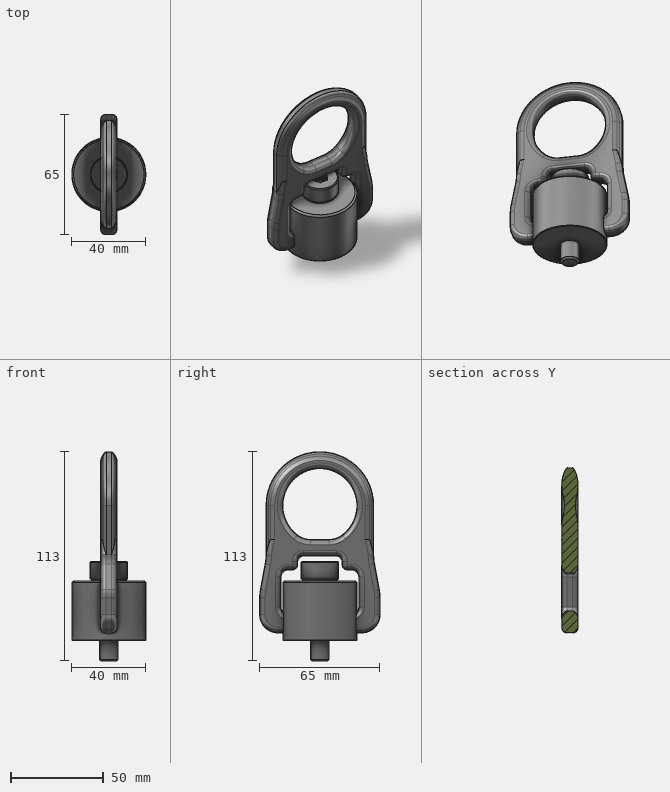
import cadquery as cq
import math

STUD_R = 5.0
STUD_CHAMFER = 1.0
BODY_R = 20.0
BODY_BOTTOM = 11.2
BODY_TOP = 43.4
BODY_TOP_CHAMFER = 1.0
BODY_BOTTOM_CHAMFER = 0.3
NECK_R = 9.5
HEAD_R = 10.1
HEAD_BOTTOM = 44.3
HEAD_TOP = 53.9
HEAD_CHAMFER = 0.6
SOCKET_ACROSS_FLATS = 8.0
SOCKET_DEPTH = 6.0

RING_TOP = 113.0
RING_BOTTOM = 15.3
RING_T = 8.8
EDGE_FILLET = 2.9
ARCH_R = 29.0
ARCH_Z = RING_TOP - ARCH_R
EYE_R = 20.0
EYE_BOTTOM = 65.7
EYE_FLAT_HALF = 5.0

CROWN = (1.4, 0)
CROWN_ARC_MID = (2.3, 0.6)
BEVEL_TOP = (2.8, 1.2)
BEVEL_BOTTOM = (3.5, 2.4)
SIDE_ARC_MID = (4.1, 3.5)
SIDE_ARC_END = (RING_T / 2, 4.6)

SHOULDER_WIDTH = 65.0
SHOULDER_HALF = SHOULDER_WIDTH / 2
SHOULDER_CORNER_R = 10.1
BEND_START_Z = 34.0
BEND_R = 26.0
FLARE_ANGLE = math.radians(10.5)
BLEND_R = 27.1
SHOULDERS_TOP = 65.8

WINDOW_TOP = 56.7
WINDOW_STEP = 49.3
WINDOW_BOTTOM = 25.3
WINDOW_TOP_HALF = 12.0
WINDOW_HALF = 21.0
WINDOW_SMALL_R = 3.0
WINDOW_CORNER_R = 4.0

PICK_MARGIN = 1.1


def cylinder(radius, bottom, top):
    return cq.Workplane("XY").workplane(offset=bottom).circle(radius).extrude(top - bottom)


def make_swivel():
    """Stud, round body and socket head bolt on one axis."""
    stud = cylinder(STUD_R, 0, BODY_BOTTOM).faces("<Z").chamfer(STUD_CHAMFER)
    body = cylinder(BODY_R, BODY_BOTTOM, BODY_TOP)
    body = body.faces(">Z").chamfer(BODY_TOP_CHAMFER).faces("<Z").chamfer(BODY_BOTTOM_CHAMFER)
    neck = cylinder(NECK_R, BODY_TOP, HEAD_BOTTOM)
    head = cylinder(HEAD_R, HEAD_BOTTOM, HEAD_TOP).faces(">Z").chamfer(HEAD_CHAMFER)
    socket = (
        cq.Workplane("XY")
        .workplane(offset=HEAD_TOP - SOCKET_DEPTH)
        .transformed(rotate=(0, 0, 90))
        .polygon(6, SOCKET_ACROSS_FLATS / math.cos(math.pi / 6))
        .extrude(SOCKET_DEPTH)
    )
    return stud.union(body).union(neck).union(head).cut(socket)


def plate(outline):
    """Extrude a closed YZ outline to the ring thickness, centred on X = 0."""
    return outline.extrude(RING_T / 2, both=True)


def rim_section(plane):
    """Half of the arch section: X runs across the ring, local Y outward from the arch axis."""

    def right(point):
        return (point[0], ARCH_R - point[1])

    def left(point):
        return (-point[0], ARCH_R - point[1])

    return (
        cq.Workplane(plane)
        .moveTo(-RING_T / 2, 0)
        .lineTo(*left(SIDE_ARC_END))
        .threePointArc(left(SIDE_ARC_MID), left(BEVEL_BOTTOM))
        .lineTo(*left(BEVEL_TOP))
        .threePointArc(left(CROWN_ARC_MID), left(CROWN))
        .lineTo(*right(CROWN))
        .threePointArc(right(CROWN_ARC_MID), right(BEVEL_TOP))
        .lineTo(*right(BEVEL_BOTTOM))
        .threePointArc(right(SIDE_ARC_MID), right(SIDE_ARC_END))
        .lineTo(RING_T / 2, 0)
        .close()
    )


def make_arch(bottom):
    """Solid arch with a rounded rim: a disc continued straight down to `bottom`."""
    level = cq.Plane(origin=(0, 0, ARCH_Z), xDir=(1, 0, 0), normal=(0, 0, 1))
    disc = rim_section(level).revolve(360, (0, 0), (1, 0))
    side = rim_section(level).extrude(bottom - ARCH_Z)
    return disc.union(side).union(side.mirror("XZ"))


def bend_point(angle):
    """Point (half width, height) where the bend has leaned inward by `angle`."""
    half = SHOULDER_HALF - BEND_R * (1 - math.cos(angle))
    return (half, BEND_START_Z + BEND_R * math.sin(angle))


def flare_meets_arch():
    """Height at which the sloping shoulder line reaches the straight side of the arch."""
    half, z = bend_point(FLARE_ANGLE)
    return z + (half - ARCH_R) / math.tan(FLARE_ANGLE)


def make_shoulders():
    """Lower plate, flaring out below the arch, with rounded corners and edges."""
    corner_inset = SHOULDER_CORNER_R * (1 - math.sqrt(0.5))
    tangent = BLEND_R * math.tan(FLARE_ANGLE / 2)
    blend_end_z = flare_meets_arch() + tangent

    def blend_point(angle):
        return (ARCH_R + BLEND_R * (1 - math.cos(angle)), blend_end_z - BLEND_R * math.sin(angle))

    top_half = ARCH_R - (SHOULDERS_TOP - blend_end_z) * math.tan(FLARE_ANGLE)
    outline = (
        cq.Workplane("YZ")
        .moveTo(0, RING_BOTTOM)
        .lineTo(SHOULDER_HALF - SHOULDER_CORNER_R, RING_BOTTOM)
        .threePointArc(
            (SHOULDER_HALF - corner_inset, RING_BOTTOM + corner_inset),
            (SHOULDER_HALF, RING_BOTTOM + SHOULDER_CORNER_R),
        )
        .lineTo(SHOULDER_HALF, BEND_START_Z)
        .threePointArc(bend_point(FLARE_ANGLE / 2), bend_point(FLARE_ANGLE))
        .lineTo(*blend_point(FLARE_ANGLE))
        .threePointArc(blend_point(FLARE_ANGLE / 2), (ARCH_R, blend_end_z))
        .lineTo(top_half, SHOULDERS_TOP)
        .lineTo(0, SHOULDERS_TOP)
        .mirrorY()
    )
    below_top = cq.selectors.BoxSelector(
        (-RING_T, -SHOULDER_WIDTH, 0), (RING_T, SHOULDER_WIDTH, SHOULDERS_TOP - PICK_MARGIN)
    )
    return plate(outline).faces("<X or >X").edges(below_top).fillet(EDGE_FILLET)


def make_eye():
    """Round eye with a flat bottom, joined to the circle by tangent arcs."""
    drop = ARCH_Z - EYE_BOTTOM
    join_r = (EYE_R**2 - EYE_FLAT_HALF**2 - drop**2) / (2 * (EYE_R - drop))
    join_z = EYE_BOTTOM + join_r
    reach = EYE_R / (EYE_R - join_r)
    touch = (EYE_FLAT_HALF * reach, ARCH_Z + (join_z - ARCH_Z) * reach)
    half_turn = math.atan2(EYE_FLAT_HALF, ARCH_Z - join_z) / 2
    join_mid = (EYE_FLAT_HALF + join_r * math.sin(half_turn), join_z - join_r * math.cos(half_turn))
    outline = (
        cq.Workplane("YZ")
        .moveTo(-EYE_FLAT_HALF, EYE_BOTTOM)
        .lineTo(EYE_FLAT_HALF, EYE_BOTTOM)
        .threePointArc(join_mid, touch)
        .threePointArc((0, ARCH_Z + EYE_R), (-touch[0], touch[1]))
        .threePointArc((-join_mid[0], join_mid[1]), (-EYE_FLAT_HALF, EYE_BOTTOM))
        .close()
    )
    return plate(outline)


def make_window():
    """Stepped opening: a wide lower part around the body, a narrow top above the head."""

    def block(half_width, top):
        middle = (WINDOW_BOTTOM + top) / 2
        return plate(cq.Workplane("YZ").center(0, middle).rect(2 * half_width, top - WINDOW_BOTTOM))

    wide = block(WINDOW_HALF, WINDOW_STEP).edges("|X").fillet(WINDOW_CORNER_R)
    narrow = block(WINDOW_TOP_HALF, WINDOW_TOP).edges("|X and >Z").fillet(WINDOW_SMALL_R)
    step_corners = cq.selectors.BoxSelector(
        (-RING_T, -WINDOW_TOP_HALF - PICK_MARGIN, WINDOW_STEP - PICK_MARGIN),
        (RING_T, WINDOW_TOP_HALF + PICK_MARGIN, WINDOW_STEP + PICK_MARGIN),
    )
    return wide.union(narrow).edges("|X").edges(step_corners).fillet(WINDOW_SMALL_R)


def make_ring():
    """Lifting ring with the eye and window edges rounded on both faces."""
    blank = make_arch(flare_meets_arch()).union(make_shoulders())
    ring = blank.cut(make_eye()).cut(make_window())
    opening_edges = []
    for side in ("<X", ">X"):
        for wire in ring.faces(side).val().innerWires():
            opening_edges += wire.Edges()
    return ring.newObject(opening_edges).fillet(EDGE_FILLET)


result = make_ring().union(make_swivel())